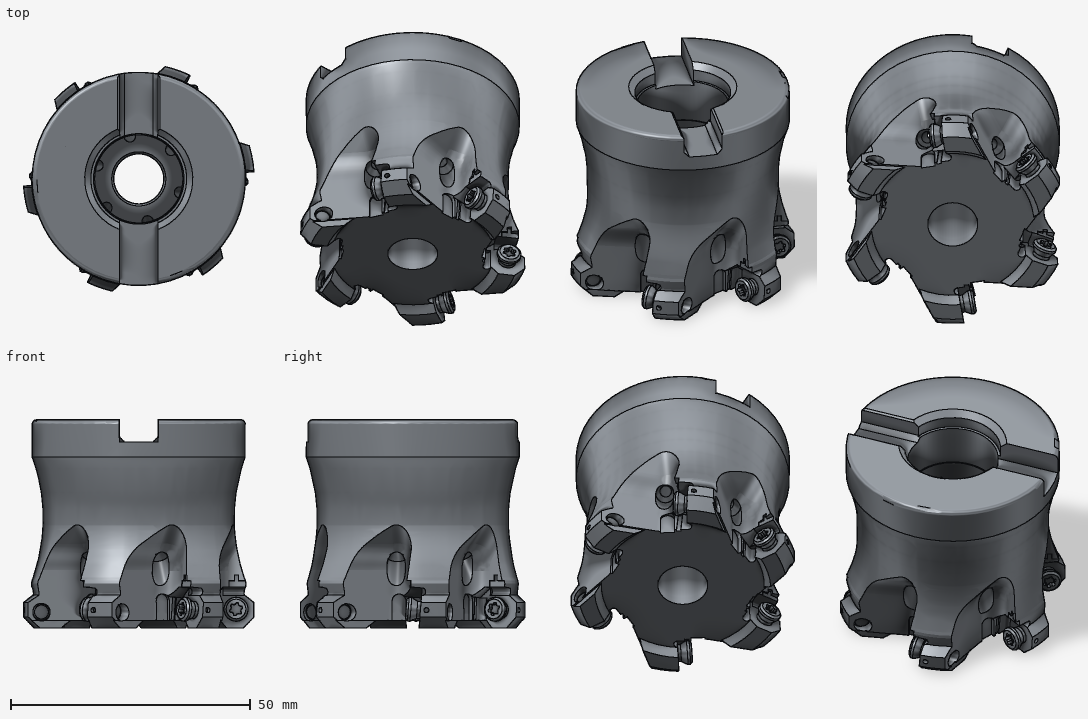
import cadquery as cq
import math

TEETH = 6
HEIGHT = 43.48
COLLAR_RADIUS = 22.25
TOP_ROUND = 1.0
COLLAR_BOTTOM_Z = 35.7
NECK_TOP_RADIUS = 22.0
NECK_TOP_Z = 35.0
NECK_CONE_RADIUS = 20.45
NECK_CONE_Z = 29.0
WAIST_RADIUS = 20.12
WAIST_Z = 19.4
SKIRT_TOP_RADIUS = 22.05
SKIRT_TOP_Z = 10.5
SKIRT_BREAK_RADIUS = 22.3
SKIRT_BREAK_Z = 9.85
SKIRT_RADIUS = 22.4
SKIRT_Z = 9.2
SKIRT_BOTTOM_RADIUS = 22.15
SKIRT_BOTTOM_Z = 7.3
TOOTH_ROOT_Z = 6.9
TOOTH_RADIUS = 24.085
TOOTH_TOP_Z = 5.35
TOOTH_BOTTOM_Z = 2.3
RIM_OUTER_RADIUS = 21.85
RIM_INNER_RADIUS = 18.4
RECESS_RADIUS = 17.0
RECESS_DEPTH = 1.6

MOUTH_RADIUS = 10.0
MOUTH_DEPTH = 3.75
MOUTH_CHAMFER = 1.28
BORE_RADIUS = 9.45
BORE_STEP_DEPTH = 12.9
LOWER_BORE_RADIUS = 9.2
BORE_DEPTH = 18.0
SCREW_HOLE_RADIUS = 5.2
SCREW_HOLE_CHAMFER = 0.45
SLOT_WIDTH = 8.1
SLOT_DEPTH = 4.65
SLOT_EDGE_CHAMFER = 0.4
SLOT_CORNER_CHAMFER = 1.08

BACK_ANGLE = 13.0
BACK_DISTANCE = 13.37
WALL_EDGE = (22.2, -1.3, 9.0)
WALL_TILT = 13.0
FLUTE_CORNER_RADIUS = 3.3
CORNER_BOX = ((10, -6, -5), (22, 6, 24))
RUNOUT_Z = 12.1
RUNOUT_RADIUS = 9.0
RUNOUT_ANGLE = 37.0
BACK_RELIEF = 0.3
BACK_RELIEF_START = 5.0
FLUTE_REACH = 16.0

COOLANT_START = (9.2, -18.0, HEIGHT - BORE_DEPTH)
COOLANT_END = (16.0, -12.6, 11.4)
COOLANT_RADIUS = 1.2
COOLANT_WIDE_RADIUS = 1.95
COOLANT_WIDE_LENGTH = 3.7
COOLANT_TIP_LENGTH = 2.0
COOLANT_OVERRUN = 6.0

SEAT_Y = 1.6
SEAT_TILT = -4.5
SCREW_X = 20.3
SCREW_Z = 3.75
SEAT_SIDE_X = 15.2
SEAT_FRONT_DEPTH = 6.0
SEAT_TOP_Z = 8.4
SEAT_SHOULDER_X = 17.6
SEAT_SHOULDER_Z = 6.3
RELIEF_RADIUS = 0.8
RIB_GROOVE_DEPTH = 0.4
RIB_GROOVE_WIDTH = 0.9
RIB_GROOVE_Y = -0.35
ARCH_X = 14.4
ARCH_WIDTH = 2.9
ARCH_Y = -2.85
ARCH_TOP_Z = 7.1
OIL_HOLE_RADIUS = 0.52
OIL_HOLE_Y = 2.85
OIL_HOLE_DEPTH = 1.2
LEDGE_X = 18.8
LEDGE_Y = -0.8
LEDGE_TOP_Z = 9.7
LEDGE_REACH = 2.5
NOTCH_X = 20.4
NOTCH_WIDTH = 0.85
NOTCH_TOP_Z = 10.9

SHANK_RADIUS = 1.8
SHANK_LENGTH = 5.0
SHANK_CHAMFER = 0.35
SCREW_HOLE_LENGTH = 10.0
HEAD_RADIUS = 2.5
HEAD_HEIGHT = 3.0
HEAD_BAND = 1.0
HEAD_CHAMFER = 0.45
NECK_HEIGHT = 0.7
STAR_RADIUS = 1.05
STAR_LOBE_RADIUS = 0.33
STAR_LOBES = 6
STAR_DEPTH = 1.2
STAR_TURN = 18.0

CLEARANCE = 30.0
BELOW = -1.0


def around_axis(shape, index):
    return shape.rotate((0, 0, 0), (0, 0, 1), index * 360 / TEETH)


def turned_blank():
    bore_floor = HEIGHT - BORE_DEPTH
    neck = [
        (-WAIST_RADIUS, WAIST_Z),
        (-NECK_CONE_RADIUS, NECK_CONE_Z),
        (-NECK_TOP_RADIUS, NECK_TOP_Z),
    ]
    outline = (
        cq.Workplane("XZ")
        .moveTo(-SCREW_HOLE_RADIUS, RECESS_DEPTH)
        .lineTo(-RECESS_RADIUS, RECESS_DEPTH)
        .lineTo(-RIM_INNER_RADIUS, 0)
        .lineTo(-RIM_OUTER_RADIUS, 0)
        .lineTo(-TOOTH_RADIUS, TOOTH_BOTTOM_Z)
        .lineTo(-TOOTH_RADIUS, TOOTH_TOP_Z)
        .lineTo(-SKIRT_BOTTOM_RADIUS, TOOTH_ROOT_Z)
        .lineTo(-SKIRT_BOTTOM_RADIUS, SKIRT_BOTTOM_Z)
        .lineTo(-SKIRT_RADIUS, SKIRT_Z)
        .lineTo(-SKIRT_BREAK_RADIUS, SKIRT_BREAK_Z)
        .lineTo(-SKIRT_TOP_RADIUS, SKIRT_TOP_Z)
        .spline(neck, includeCurrent=True)
        .lineTo(-COLLAR_RADIUS, COLLAR_BOTTOM_Z)
        .lineTo(-COLLAR_RADIUS, HEIGHT - TOP_ROUND)
        .radiusArc((-COLLAR_RADIUS + TOP_ROUND, HEIGHT), TOP_ROUND)
        .lineTo(-MOUTH_RADIUS - MOUTH_CHAMFER, HEIGHT)
        .lineTo(-MOUTH_RADIUS, HEIGHT - MOUTH_CHAMFER)
        .lineTo(-MOUTH_RADIUS, HEIGHT - MOUTH_DEPTH)
        .lineTo(-BORE_RADIUS, HEIGHT - MOUTH_DEPTH)
        .lineTo(-BORE_RADIUS, HEIGHT - BORE_STEP_DEPTH)
        .lineTo(-LOWER_BORE_RADIUS, HEIGHT - BORE_STEP_DEPTH)
        .lineTo(-LOWER_BORE_RADIUS, bore_floor)
        .lineTo(-SCREW_HOLE_RADIUS - SCREW_HOLE_CHAMFER, bore_floor)
        .lineTo(-SCREW_HOLE_RADIUS, bore_floor - SCREW_HOLE_CHAMFER)
        .close()
    )
    return outline.revolve(360, (0, 0, 0), (0, 1, 0))


def drive_slot():
    half = SLOT_WIDTH / 2
    floor = HEIGHT - SLOT_DEPTH
    plain_half = (
        cq.Workplane("XZ")
        .moveTo(-half, floor)
        .lineTo(half, floor)
        .lineTo(half, HEIGHT)
        .lineTo(-half, HEIGHT)
        .close()
        .extrude(CLEARANCE)
    )
    chamfered_half = (
        cq.Workplane("XZ")
        .moveTo(-half + SLOT_CORNER_CHAMFER, floor)
        .lineTo(half - SLOT_CORNER_CHAMFER, floor)
        .lineTo(half, floor + SLOT_CORNER_CHAMFER)
        .lineTo(half, HEIGHT - SLOT_EDGE_CHAMFER)
        .lineTo(half + SLOT_EDGE_CHAMFER, HEIGHT)
        .lineTo(-half - SLOT_EDGE_CHAMFER, HEIGHT)
        .lineTo(-half, HEIGHT - SLOT_EDGE_CHAMFER)
        .lineTo(-half, floor + SLOT_CORNER_CHAMFER)
        .close()
        .extrude(-CLEARANCE)
    )
    return plain_half.union(chamfered_half)


def flute():
    """Flute in front of the tooth on +X: a floor that runs out upwards, a wall and a round corner."""
    angle = math.radians(RUNOUT_ANGLE)
    half = angle / 2
    arc_middle = (
        BACK_DISTANCE + RUNOUT_RADIUS * (1 - math.cos(half)),
        RUNOUT_Z + RUNOUT_RADIUS * math.sin(half),
    )
    arc_end = (
        BACK_DISTANCE + RUNOUT_RADIUS * (1 - math.cos(angle)),
        RUNOUT_Z + RUNOUT_RADIUS * math.sin(angle),
    )
    reach = BACK_DISTANCE + FLUTE_REACH
    top = arc_end[1] + (reach - arc_end[0]) / math.tan(angle)
    floor_sweep = (
        cq.Workplane("XZ")
        .moveTo(BACK_DISTANCE, BELOW)
        .lineTo(BACK_DISTANCE, RUNOUT_Z)
        .threePointArc(arc_middle, arc_end)
        .lineTo(reach, top)
        .lineTo(reach, BELOW)
        .close()
        .extrude(CLEARANCE, both=True)
        .rotate((0, 0, 0), (0, 0, 1), BACK_ANGLE)
    )
    behind_wall = (
        cq.Workplane("XY", origin=(0, 0, BELOW))
        .rect(4 * CLEARANCE, 2 * CLEARANCE)
        .extrude(3 * CLEARANCE)
        .translate((0, CLEARANCE, -CLEARANCE))
        .rotate((0, 0, 0), (1, 0, 0), SEAT_TILT)
        .rotate((0, 0, 0), (0, 0, 1), -WALL_TILT)
        .translate(WALL_EDGE)
    )
    wedge = floor_sweep.cut(behind_wall)
    corner = wedge.edges(cq.selectors.BoxSelector(*CORNER_BOX))
    return corner.fillet(FLUTE_CORNER_RADIUS)


def seat_tilted(shape):
    """Lean a shape built square to the tooth back about the screw's place on the seat."""
    return shape.rotate((0, SEAT_Y, SCREW_Z), (1, SEAT_Y, SCREW_Z), SEAT_TILT)


def seat_pocket():
    pocket = (
        cq.Workplane("XZ", origin=(0, SEAT_Y, 0))
        .moveTo(SEAT_SIDE_X, BELOW)
        .lineTo(SEAT_SIDE_X, SEAT_SHOULDER_Z)
        .lineTo(SEAT_SHOULDER_X, SEAT_TOP_Z)
        .lineTo(CLEARANCE, SEAT_TOP_Z)
        .lineTo(CLEARANCE, BELOW)
        .close()
        .extrude(SEAT_FRONT_DEPTH)
    )
    return seat_tilted(pocket)


def seat_reliefs():
    """Round grooves along the seat's top and inner side, and a flat one in its side wall."""
    top_groove = (
        cq.Workplane("YZ", origin=(SEAT_SHOULDER_X, SEAT_Y, SEAT_TOP_Z - RELIEF_RADIUS))
        .circle(RELIEF_RADIUS)
        .extrude(CLEARANCE)
    )
    side_groove = (
        cq.Workplane("XY", origin=(SEAT_SIDE_X + RELIEF_RADIUS, SEAT_Y, BELOW))
        .circle(RELIEF_RADIUS)
        .extrude(SEAT_SHOULDER_Z - BELOW)
    )
    rib_groove = (
        cq.Workplane("XY")
        .box(2 * RIB_GROOVE_DEPTH, RIB_GROOVE_WIDTH, 2 * SEAT_SHOULDER_Z)
        .translate((SEAT_SIDE_X, RIB_GROOVE_Y, 0))
    )
    return [seat_tilted(groove) for groove in (top_groove, side_groove, rib_groove)]


def ledge():
    """Shallow step in the flute wall above the seat, with a small notch over it."""
    step = (
        cq.Workplane("XZ", origin=(0, LEDGE_Y, 0))
        .moveTo(LEDGE_X, SEAT_TOP_Z - RELIEF_RADIUS)
        .lineTo(LEDGE_X, LEDGE_TOP_Z)
        .lineTo(NOTCH_X - NOTCH_WIDTH / 2, LEDGE_TOP_Z)
        .lineTo(NOTCH_X - NOTCH_WIDTH / 2, NOTCH_TOP_Z)
        .lineTo(NOTCH_X + NOTCH_WIDTH / 2, NOTCH_TOP_Z)
        .lineTo(NOTCH_X + NOTCH_WIDTH / 2, LEDGE_TOP_Z)
        .lineTo(CLEARANCE, LEDGE_TOP_Z)
        .lineTo(CLEARANCE, SEAT_TOP_Z - RELIEF_RADIUS)
        .close()
        .extrude(LEDGE_REACH)
    )
    return seat_tilted(step)


def back_relief():
    """Shallow step at the foot of the flute floor, on the back of the tooth behind."""
    step = cq.Workplane("XY").box(CLEARANCE, CLEARANCE, 2 * RECESS_DEPTH)
    middle = CLEARANCE / 2
    step = step.translate((BACK_DISTANCE - BACK_RELIEF + middle, -BACK_RELIEF_START - middle, 0))
    return step.rotate((0, 0, 0), (0, 0, 1), BACK_ANGLE)


def seat_arch():
    """Round-topped clearance beside the seat, in the flute corner."""
    radius = ARCH_WIDTH / 2
    spring = ARCH_TOP_Z - radius
    return (
        cq.Workplane("YZ", origin=(ARCH_X, 0, 0))
        .moveTo(ARCH_Y - radius, BELOW)
        .lineTo(ARCH_Y - radius, spring)
        .threePointArc((ARCH_Y, ARCH_TOP_Z), (ARCH_Y + radius, spring))
        .lineTo(ARCH_Y + radius, BELOW)
        .close()
        .extrude(FLUTE_CORNER_RADIUS)
    )


def oil_hole():
    return (
        cq.Workplane("YZ", origin=(TOOTH_RADIUS - OIL_HOLE_DEPTH, OIL_HOLE_Y, SCREW_Z))
        .circle(OIL_HOLE_RADIUS)
        .extrude(CLEARANCE)
    )


def polar_point(radius, angle, height):
    turn = math.radians(angle)
    return cq.Vector(radius * math.cos(turn), radius * math.sin(turn), height)


def coolant_hole():
    """Narrow hole from the bore floor, opening through a cone into a wider one in the flute."""
    start = polar_point(*COOLANT_START)
    end = polar_point(*COOLANT_END)
    axis = (end - start).normalized()
    wide_start = end - axis * COOLANT_WIDE_LENGTH
    tip = wide_start - axis * COOLANT_TIP_LENGTH
    top = start - axis * COOLANT_RADIUS
    narrow = cq.Solid.makeCylinder(COOLANT_RADIUS, (end - top).Length, top, axis)
    cone = cq.Solid.makeCone(COOLANT_RADIUS, COOLANT_WIDE_RADIUS, COOLANT_TIP_LENGTH, tip, axis)
    wide_length = COOLANT_WIDE_LENGTH + COOLANT_OVERRUN
    wide = cq.Solid.makeCylinder(COOLANT_WIDE_RADIUS, wide_length, wide_start, axis)
    return cq.Workplane(narrow.fuse(cone, wide))


def screw_hole():
    hole = (
        cq.Workplane("XZ", origin=(SCREW_X, SEAT_Y, SCREW_Z))
        .circle(SHANK_RADIUS)
        .extrude(-SCREW_HOLE_LENGTH)
    )
    return seat_tilted(hole)


def clamping_screw():
    """Screw for the tooth on +X, head towards -Y."""
    outline = (
        cq.Workplane("XY")
        .moveTo(0, SHANK_LENGTH)
        .lineTo(SHANK_RADIUS - SHANK_CHAMFER, SHANK_LENGTH)
        .lineTo(SHANK_RADIUS, SHANK_LENGTH - SHANK_CHAMFER)
        .lineTo(SHANK_RADIUS, -NECK_HEIGHT)
        .lineTo(HEAD_RADIUS, -HEAD_HEIGHT + HEAD_BAND)
        .lineTo(HEAD_RADIUS, -HEAD_HEIGHT + HEAD_CHAMFER)
        .lineTo(HEAD_RADIUS - HEAD_CHAMFER, -HEAD_HEIGHT)
        .lineTo(0, -HEAD_HEIGHT)
        .close()
    )
    screw = outline.revolve(360, (0, 0, 0), (0, 1, 0))
    face = cq.Workplane("XZ", origin=(0, -HEAD_HEIGHT, 0))
    star = face.circle(STAR_RADIUS).extrude(-STAR_DEPTH).union(
        face.polarArray(STAR_RADIUS, STAR_TURN, 360, STAR_LOBES).circle(STAR_LOBE_RADIUS).extrude(-STAR_DEPTH)
    )
    return seat_tilted(screw.cut(star).translate((SCREW_X, SEAT_Y, SCREW_Z)))


body = turned_blank().cut(drive_slot())
tooth_cuts = [
    flute(),
    back_relief(),
    seat_pocket(),
    *seat_reliefs(),
    ledge(),
    seat_arch(),
    oil_hole(),
    coolant_hole(),
    screw_hole(),
]
for index in range(TEETH):
    for cutter in tooth_cuts:
        body = body.cut(around_axis(cutter, index))

screw = clamping_screw()
screws = [around_axis(screw, index) for index in range(TEETH)]

result = cq.Compound.makeCompound([body.val(), *[item.val() for item in screws]])